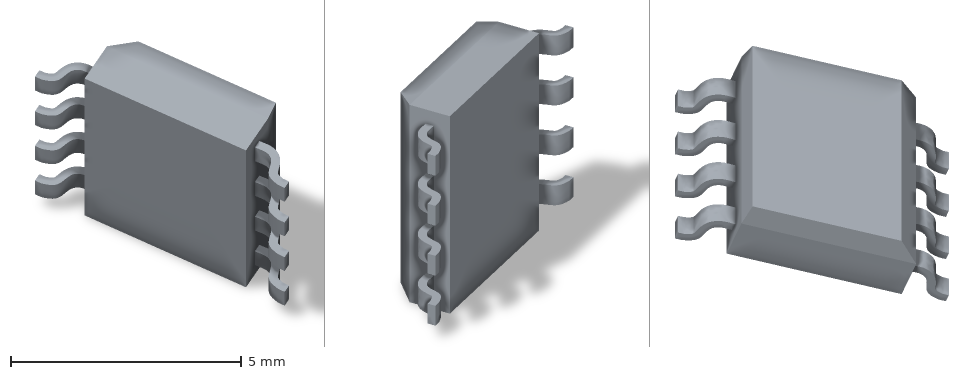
import cadquery as cq
import math


overall_width = 6.2
body_width = 4.005
body_length = 5.0
standoff = 0.25
straight_depth = 1.0
taper_depth = 0.5
draft_angle = 10
draft_inset = taper_depth * math.tan(math.radians(draft_angle))
bevel_inset = taper_depth

leads_per_side = 4
lead_pitch = 1.265
lead_row_center = -0.005
lead_width = 0.5
lead_thickness = 0.2
lead_top = 0.845
lead_reach = (overall_width - body_width) / 2

lead_curve = [
    (0, lead_top - lead_thickness / 2),
    (0.315, 0.74),
    (0.49, 0.65),
    (0.63, 0.385),
    (0.725, 0.185),
    (0.905, 0.11),
    (lead_reach, lead_thickness / 2),
]


def make_body():
    """Straight-sided block with a tapered cap on its +Y face."""
    parting_y = standoff + straight_depth
    block = (
        cq.Workplane("XZ", origin=(0, standoff, 0))
        .rect(body_width, body_length)
        .extrude(-straight_depth)
    )
    cap = (
        cq.Workplane("XZ", origin=(0, parting_y, 0))
        .rect(body_width, body_length)
        .workplane(offset=-taper_depth)
        .center((bevel_inset - draft_inset) / 2, 0)
        .rect(body_width - bevel_inset - draft_inset, body_length - 2 * draft_inset)
        .loft(ruled=True)
    )
    return block.union(cap)


def make_lead():
    """One +X lead at Z = 0: a rectangular strip along a smooth S-curve."""
    root = (body_width / 2, 0, 0)
    path = cq.Workplane("XY", origin=root).spline(lead_curve, tangents=[(1, 0), (1, 0)])
    section = cq.Workplane("YZ", origin=root).center(lead_curve[0][1], 0)
    return section.rect(lead_thickness, lead_width).sweep(path)


def add_leads(body):
    """Join a row of evenly spaced leads to each side of the body."""
    right_lead = make_lead()
    left_lead = right_lead.mirror("YZ")
    first_z = lead_row_center - lead_pitch * (leads_per_side - 1) / 2
    for index in range(leads_per_side):
        offset = (0, 0, first_z + index * lead_pitch)
        body = body.union(right_lead.translate(offset))
        body = body.union(left_lead.translate(offset))
    return body


result = add_leads(make_body())